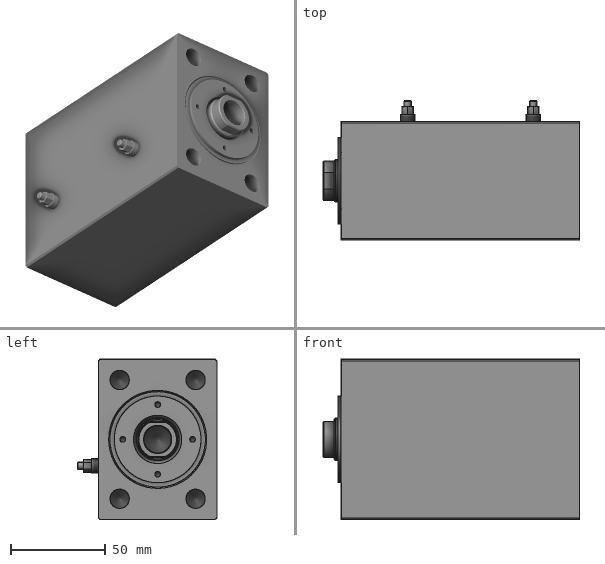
import cadquery as cq
import math

OVERALL_LENGTH = 136.0
HOUSING_LENGTH = 126.3
HOUSING_WIDTH = 63.0
HOUSING_HEIGHT = 85.0
HOUSING_EDGE_CHAMFER = 1.0

MOUNT_HOLE_DIAMETER = 10.2
MOUNT_HOLE_DEPTH = 20.4
MOUNT_SPACING_Y = 40.3
MOUNT_SPACING_Z = 63.0
DRILL_POINT_ANGLE = 118.0

GLAND_DIAMETER = 50.6
GLAND_DEPTH = 20.0
GLAND_SEAT_CHAMFER = 0.7
BOSS_DIAMETER = 46.0
BOSS_HEIGHT = 1.8
WIPER_MOUTH_DIAMETER = 25.5
SPANNER_HOLE_DIAMETER = 3.0
SPANNER_HOLE_DEPTH = 3.4
SPANNER_CIRCLE_RADIUS = 18.5
SPANNER_HOLE_COUNT = 4

ROD_TIP_DIAMETER = 21.1
ROD_SHOULDER_CHAMFER = 0.7
ROD_DIAMETER = ROD_TIP_DIAMETER + 2 * ROD_SHOULDER_CHAMFER
ROD_TIP_LENGTH = 5.8
ROD_REACH = OVERALL_LENGTH - HOUSING_LENGTH
ROD_TIP_CHAMFER = 0.5
WRENCH_FLAT_WIDTH = 19.2
ROD_HOLE_DIAMETER = 14.4
ROD_HOLE_DEPTH = 16.3
ROD_HOLE_CHAMFER = 0.3

FITTING_POSITIONS_X = (35.2, 101.9)
FITTING_Z = -14.0
FITTING_BASE_DIAMETER = 7.8
FITTING_BASE_HEIGHT = 3.7
FITTING_HEX_FLATS = 6.0
FITTING_HEX_HEIGHT = 4.2
FITTING_TIP_DIAMETER = 4.0
FITTING_TIP_HEIGHT = 3.1
FITTING_TIP_CHAMFER = 0.4


def rod_cylinder(diameter, start_x, end_x):
    """Cylinder on the X axis between two X positions."""
    return cq.Workplane("YZ", origin=(start_x, 0, 0)).circle(diameter / 2).extrude(end_x - start_x)


def drilled_hole(diameter, depth, x, y, z):
    """Cutter for a blind hole running toward +X, with a conical drill point."""
    radius = diameter / 2
    point_length = radius / math.tan(math.radians(DRILL_POINT_ANGLE / 2))
    profile = [(0, 0), (0, radius), (depth, radius), (depth + point_length, 0)]
    cutter = cq.Workplane("XY").polyline(profile).close().revolve(360, (0, 0, 0), (1, 0, 0))
    return cutter.translate((x, y, z))


def countersink(mouth_diameter, small_diameter, x):
    """45-degree conical cutter on the X axis that narrows toward +X."""
    mouth_radius = mouth_diameter / 2
    small_radius = small_diameter / 2
    end_x = x + mouth_radius - small_radius
    profile = [(x, 0), (x, mouth_radius), (end_x, small_radius), (end_x, 0)]
    return cq.Workplane("XY").polyline(profile).close().revolve(360, (0, 0, 0), (1, 0, 0))


def make_housing():
    """Edge-chamfered block with a gland seat and four blind mounting holes."""
    housing = cq.Workplane("XY").box(
        HOUSING_LENGTH, HOUSING_WIDTH, HOUSING_HEIGHT, centered=(False, True, True)
    )
    housing = housing.edges("|X").chamfer(HOUSING_EDGE_CHAMFER)

    housing = housing.cut(rod_cylinder(GLAND_DIAMETER, 0, GLAND_DEPTH))
    housing = housing.cut(countersink(GLAND_DIAMETER + 2 * GLAND_SEAT_CHAMFER, GLAND_DIAMETER, 0))

    for side_y in (-1, 1):
        for side_z in (-1, 1):
            y = side_y * MOUNT_SPACING_Y / 2
            z = side_z * MOUNT_SPACING_Z / 2
            housing = housing.cut(drilled_hole(MOUNT_HOLE_DIAMETER, MOUNT_HOLE_DEPTH, 0, y, z))
    return housing


def make_gland():
    """Flanged ring around the rod, with blind spanner holes in its boss."""
    gland = rod_cylinder(GLAND_DIAMETER, 0, GLAND_DEPTH)
    gland = gland.union(rod_cylinder(BOSS_DIAMETER, -BOSS_HEIGHT, 0))

    gland = gland.cut(rod_cylinder(ROD_DIAMETER, -BOSS_HEIGHT, GLAND_DEPTH))
    gland = gland.cut(countersink(WIPER_MOUTH_DIAMETER, ROD_DIAMETER, -BOSS_HEIGHT))

    for index in range(SPANNER_HOLE_COUNT):
        angle = 2 * math.pi * index / SPANNER_HOLE_COUNT
        y = SPANNER_CIRCLE_RADIUS * math.cos(angle)
        z = SPANNER_CIRCLE_RADIUS * math.sin(angle)
        gland = gland.cut(drilled_hole(SPANNER_HOLE_DIAMETER, SPANNER_HOLE_DEPTH, -BOSS_HEIGHT, y, z))
    return gland


def make_rod():
    """Piston rod that fills the gland bore, with a blind hole in its tip."""
    shoulder_x = ROD_TIP_LENGTH - ROD_REACH
    shank = rod_cylinder(ROD_DIAMETER, shoulder_x, GLAND_DEPTH).faces("<X").chamfer(ROD_SHOULDER_CHAMFER)

    tip = rod_cylinder(ROD_TIP_DIAMETER, -ROD_REACH, shoulder_x)
    flats = cq.Workplane("XY").box(2 * ROD_REACH, 2 * ROD_DIAMETER, WRENCH_FLAT_WIDTH)
    tip = tip.intersect(flats).faces("<X").chamfer(ROD_TIP_CHAMFER)

    rod = shank.union(tip)
    rod = rod.cut(drilled_hole(ROD_HOLE_DIAMETER, ROD_HOLE_DEPTH, -ROD_REACH, 0, 0))
    mouth_diameter = ROD_HOLE_DIAMETER + 2 * ROD_HOLE_CHAMFER
    return rod.cut(countersink(mouth_diameter, ROD_HOLE_DIAMETER, -ROD_REACH))


def make_fitting(x):
    """Sensor fitting standing on the +Y face: round base, hexagon and round tip."""
    base = cq.Workplane("XY").circle(FITTING_BASE_DIAMETER / 2).extrude(FITTING_BASE_HEIGHT)
    hex_corner_diameter = FITTING_HEX_FLATS / math.cos(math.pi / 6)
    hexagon = (
        cq.Workplane("XY", origin=(0, 0, FITTING_BASE_HEIGHT))
        .polygon(6, hex_corner_diameter)
        .extrude(FITTING_HEX_HEIGHT)
        .rotate((0, 0, 0), (0, 0, 1), 90)
    )
    tip = (
        cq.Workplane("XY", origin=(0, 0, FITTING_BASE_HEIGHT + FITTING_HEX_HEIGHT))
        .circle(FITTING_TIP_DIAMETER / 2)
        .extrude(FITTING_TIP_HEIGHT)
        .faces(">Z")
        .chamfer(FITTING_TIP_CHAMFER)
    )
    fitting = base.union(hexagon).union(tip)
    fitting = fitting.rotate((0, 0, 0), (1, 0, 0), -90)
    return fitting.translate((x, HOUSING_WIDTH / 2, FITTING_Z))


housing = make_housing()
gland = make_gland()
rod = make_rod()
fittings = [make_fitting(x) for x in FITTING_POSITIONS_X]

result = cq.Compound.makeCompound(
    [housing.val(), gland.val(), rod.val(), *[fitting.val() for fitting in fittings]]
)